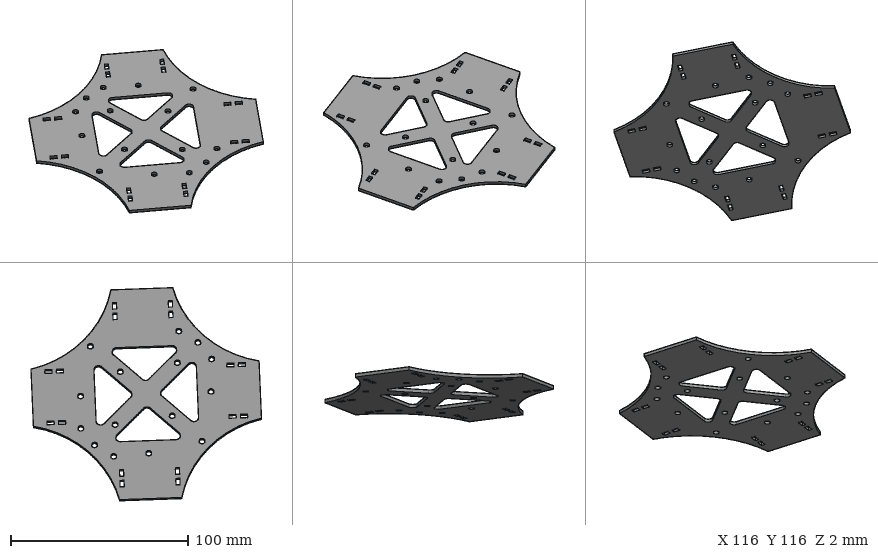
import cadquery as cq
import math

size = 116.0
thickness = 2.0
half_size = size / 2
corner_offset = 33.2
waist = 48.2

rib_width = 10.0
window_reach = 40.8
window_radius = 2.5

hole_diameter = 3.2
inner_hole_x = 25.9
inner_hole_y = 20.0
outer_hole = 42.9
side_hole_x = 40.7
side_hole_y = 12.6
offset_hole = 26.2

slot_length = 4.0
slot_width = 2.2
slot_distances = (48.1, 54.6)
slot_offset = 15.8

quadrants = [(1, 1), (-1, 1), (-1, -1), (1, -1)]


def make_plate():
    """Four-armed plate with a concave arc on each side and a flat arm end on each diagonal."""
    return (
        cq.Workplane("XY")
        .moveTo(-corner_offset, half_size)
        .threePointArc((0, waist), (corner_offset, half_size))
        .lineTo(half_size, corner_offset)
        .threePointArc((waist, 0), (half_size, -corner_offset))
        .lineTo(corner_offset, -half_size)
        .threePointArc((0, -waist), (-corner_offset, -half_size))
        .lineTo(-half_size, -corner_offset)
        .threePointArc((-waist, 0), (-half_size, corner_offset))
        .close()
        .extrude(thickness)
    )


def make_window(sign_x, sign_y):
    """Right-angled triangular cutter with rounded corners for one quadrant."""
    near = rib_width / 2
    far = window_reach - near
    corners = [(near, near), (far, near), (near, far)]
    return (
        cq.Workplane("XY")
        .polyline([(sign_x * x, sign_y * y) for x, y in corners])
        .close()
        .extrude(thickness)
        .edges("|Z")
        .fillet(window_radius)
    )


def make_holes():
    """Cutter for every round through hole."""
    centres = [
        (0, outer_hole),
        (0, -outer_hole),
        (outer_hole, 0),
        (-outer_hole, 0),
        (0, inner_hole_y),
        (0, -inner_hole_y),
        (inner_hole_x, 0),
        (-inner_hole_x, 0),
        (inner_hole_x, -inner_hole_x),
        (-inner_hole_x, -inner_hole_x),
        (-offset_hole, offset_hole),
    ]
    centres += [(sign_x * side_hole_x, sign_y * side_hole_y) for sign_x, sign_y in quadrants]
    return cq.Workplane("XY").pushPoints(centres).circle(hole_diameter / 2).extrude(thickness)


def make_arm_slots(sign_x, sign_y):
    """Cutter for the two pairs of slots that flank the diagonal of one arm."""
    centres = [(along, side * slot_offset) for along in slot_distances for side in (-1, 1)]
    diagonal_angle = math.degrees(math.atan2(sign_y, sign_x))
    return (
        cq.Workplane("XY")
        .pushPoints(centres)
        .rect(slot_length, slot_width)
        .extrude(thickness)
        .rotate((0, 0, 0), (0, 0, 1), diagonal_angle)
    )


result = make_plate().cut(make_holes())
for quadrant in quadrants:
    result = result.cut(make_window(*quadrant)).cut(make_arm_slots(*quadrant))